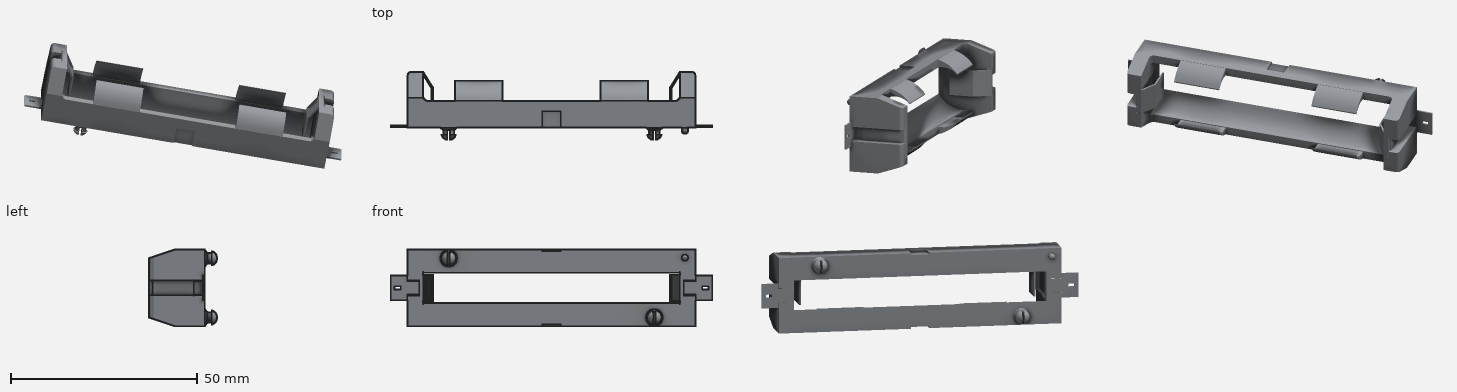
import cadquery as cq
import math

length = 77.3
width = 20.65
height = 15.0
wall = 4.2
rail_height = 7.2
shoulder_height = 8.0
shoulder_inset = 2.35
top_corner_radius = 1.05
rail_corner_radius = 1.3
window_width = 8.1
cradle_radius = 8.0

slot_width = 4.0
slot_depth = 2.4
slot_rim_drop = 1.0
notch_depth = 3.2
notch_height = 2.9

side_recess_length = 5.0
side_recess_height = 4.35
side_recess_depth = 0.5

arm_length = 12.8
arm_spacing = 39.0
arm_root_y = 6.7
arm_outer_root = (rail_height, 10.25)
arm_outer_middle = (10.0, 9.1)
arm_outer_tip = (12.63, 6.7)
arm_inner_tip = (12.63, 6.4)
arm_inner_middle = (11.0, 7.7)
arm_inner_root = (8.0, 8.2)

overall_length = 86.41
sheet = 0.45
tab_offset = 0.15
tab_width = 6.65
neck_width = 3.6
contact_width = 7.1
bend_radius = 0.65
contact_face_x = 31.8
contact_crest_x = 34.45
contact_bend_y = 10.75
contact_end_y = 4.0
tab_hole_length = 1.6
tab_hole_width = 0.8
tab_hole_x = 41.3

pin_length = 3.33
pin_base_diameter = 4.5
pin_neck_diameter = 3.0
pin_head_diameter = 3.9
pin_flare_length = 0.6
pin_head_start = 1.9
pin_slit_width = 0.7
pin_slit_start = 0.7
pin_x = 27.6
pin_z = 7.95

post_diameter = 1.7
post_length = 1.6
post_round = 0.7
post_x = 35.8
post_z = 8.1

half_length = length / 2
half_width = width / 2
wall_inner_x = half_length - wall
riser_inner_x = half_length - notch_depth
riser_outer_x = riser_inner_x + sheet
cradle_y = math.sqrt(cradle_radius**2 - (window_width / 2) ** 2)


def block(x_range, y_range, z_width):
    """A box between two X and two Y values, centred on Z = 0."""
    x_size = x_range[1] - x_range[0]
    y_size = y_range[1] - y_range[0]
    corner = (x_range[0], y_range[0], 0)
    return cq.Workplane("XY").box(x_size, y_size, z_width, centered=(False, False, True)).translate(corner)


def make_frame():
    """The housing's end walls and side rails, around the open cradle."""
    frame = (
        cq.Workplane("YZ")
        .moveTo(0, -half_width)
        .lineTo(shoulder_height, -half_width)
        .lineTo(height, shoulder_inset - half_width)
        .lineTo(height, half_width - shoulder_inset)
        .lineTo(shoulder_height, half_width)
        .lineTo(0, half_width)
        .close()
        .extrude(half_length, both=True)
    )
    frame = frame.faces(">Y").edges("|Z").fillet(top_corner_radius)
    inside = (-wall_inner_x, wall_inner_x)
    gap = block(inside, (rail_height, 2 * height), 2 * width)
    gap = gap.faces("<Y").edges("|Z").fillet(rail_corner_radius)
    window = block(inside, (0, height), window_width)
    cradle = cq.Workplane("YZ").center(cradle_y, 0).circle(cradle_radius).extrude(wall_inner_x, both=True)
    return frame.cut(gap).cut(window).cut(cradle)


def make_terminal_opening():
    """The space for the terminal in the -X end wall: outer slot, notch below it and inner recess."""
    slot = block((-half_length, slot_depth - half_length), (0, height), slot_width)
    notch = block((-half_length, -riser_inner_x), (0, notch_height), slot_width)
    recess = block((-riser_outer_x, -wall_inner_x), (notch_height, height), contact_width)
    rim = block((-half_length, -wall_inner_x), (height - slot_rim_drop, height), slot_width)
    return slot.union(notch).union(recess).union(rim)


def make_arm():
    """A curved, tapering arm on the +Z rail."""
    return (
        cq.Workplane("YZ")
        .moveTo(arm_root_y, arm_outer_root[1])
        .lineTo(*arm_outer_root)
        .threePointArc(arm_outer_middle, arm_outer_tip)
        .lineTo(*arm_inner_tip)
        .threePointArc(arm_inner_middle, arm_inner_root)
        .lineTo(arm_root_y, arm_inner_root[1])
        .close()
        .extrude(arm_length / 2, both=True)
    )


def make_housing():
    housing = make_frame()

    opening = make_terminal_opening()
    housing = housing.cut(opening).cut(opening.mirror("YZ"))

    recess_z = half_width - side_recess_depth / 2
    for side in (-1, 1):
        recess = cq.Workplane("XY").box(side_recess_length, side_recess_height, side_recess_depth)
        housing = housing.cut(recess.translate((0, side_recess_height / 2, side * recess_z)))

    for end in (-1, 1):
        arm = make_arm().translate((end * arm_spacing / 2, 0, 0))
        housing = housing.union(arm).union(arm.mirror("XY"))

    post = cq.Workplane("XZ").center(post_x, post_z).circle(post_diameter / 2).extrude(post_length)
    post = post.faces("<Y").edges().fillet(post_round)
    return housing.union(post)


def make_terminal():
    """The -X terminal: solder tab, riser through the wall, bend over the top and contact spring."""
    tab_y = (tab_offset, tab_offset + sheet)
    tab = block((-overall_length / 2, -half_length), tab_y, tab_width)
    hole = block((-tab_hole_length / 2, tab_hole_length / 2), tab_y, tab_hole_width)
    tab = tab.cut(hole.translate((-tab_hole_x, 0, 0)))
    neck = block((-half_length, -riser_inner_x), tab_y, neck_width)
    foot = block((-riser_outer_x, -riser_inner_x), (tab_offset, notch_height), neck_width)

    bend_x = bend_radius - riser_outer_x
    bend_y = height - bend_radius
    slope = math.atan2(height - contact_bend_y, contact_crest_x - contact_face_x)
    crest_setback = sheet * math.tan(slope / 2)
    bend_setback = sheet * math.tan((math.pi / 2 - slope) / 2)
    inner_radius = bend_radius - sheet
    spring = (
        cq.Workplane("XY")
        .moveTo(-riser_outer_x, notch_height)
        .lineTo(-riser_outer_x, bend_y)
        .radiusArc((bend_x, height), bend_radius)
        .lineTo(-contact_crest_x, height)
        .lineTo(-contact_face_x, contact_bend_y)
        .lineTo(-contact_face_x, contact_end_y)
        .lineTo(-contact_face_x - sheet, contact_end_y)
        .lineTo(-contact_face_x - sheet, contact_bend_y - bend_setback)
        .lineTo(-contact_crest_x - crest_setback, height - sheet)
        .lineTo(bend_x, height - sheet)
        .radiusArc((-riser_inner_x, bend_y), -inner_radius)
        .lineTo(-riser_inner_x, notch_height)
        .close()
        .extrude(contact_width / 2, both=True)
    )
    return tab.union(neck).union(foot).union(spring)


def make_pin():
    """A snap pin pointing to -Y from the origin: flared base, neck and slit domed head."""
    head_radius = pin_head_diameter / 2
    dome_height = pin_length - pin_head_start
    dome_radius = (head_radius**2 + dome_height**2) / (2 * dome_height)
    dome_half_angle = math.asin(head_radius / dome_radius) / 2
    dome_middle = (
        dome_radius * math.sin(dome_half_angle),
        dome_radius * (1 - math.cos(dome_half_angle)) - pin_length,
    )
    pin = (
        cq.Workplane("XY")
        .lineTo(pin_base_diameter / 2, 0)
        .lineTo(pin_neck_diameter / 2, -pin_flare_length)
        .lineTo(pin_neck_diameter / 2, -pin_head_start)
        .lineTo(head_radius, -pin_head_start)
        .threePointArc(dome_middle, (0, -pin_length))
        .close()
        .revolve(360, (0, 0, 0), (0, 1, 0))
    )
    slit = block((-pin_slit_width / 2, pin_slit_width / 2), (-pin_length, -pin_slit_start), pin_base_diameter)
    return pin.cut(slit)


housing = make_housing()
left_terminal = make_terminal()
terminals = [left_terminal, left_terminal.mirror("YZ")]
pins = [make_pin().translate((end * pin_x, 0, -end * pin_z)) for end in (-1, 1)]

bodies = [housing, *terminals, *pins]
result = cq.Compound.makeCompound([body.val() for body in bodies])